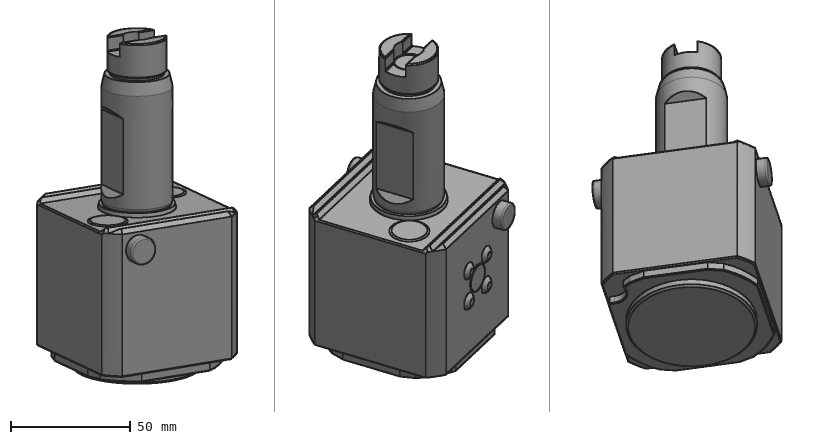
import cadquery as cq
import math

total_height = 144.5
flange_bottom_z = 3.5
body_bottom_z = 7.2
body_floor_z = 69.8
collar_top_z = 71.5
shaft_taper_z = 122.5
neck_bottom_z = 128.2
neck_top_z = 129.2
slot_floor_z = 138.1

body_width = 66.0
corner_diameter = 85.0
body_bottom_chamfer = 0.6
end_chamfer_height = 2.6

ridge_height = 1.9
ridge_crest = 0.3
ridge_top_z = body_floor_z + ridge_height

disc_diameter = 55.0
disc_chamfer = 0.9
flange_width = 64.2
flange_diameter = 72.2
flange_chamfer = 0.5
flange_flat_half = 13.7
flange_slant_end_x = 20.2
notch_radius = 13.0 / 2
notch_x = -29.3
notch_y = -24.5

shaft_radius = 30.0 / 2
shaft_foot_height = 1.5
shaft_foot_chamfer = 0.5
shaft_top_radius = 13.7
taper_bulge = 0.07
collar_base_radius = 16.5
collar_top_radius = 16.0
neck_radius = 23.0 / 2
head_radius = 25.0 / 2
head_chamfer = 0.6
head_under_chamfer = 0.7
slot_width = 10.0
slot_edge = 0.5
bore_diameter = 12.5
bore_step = 0.6
bore_floor_chamfer = 0.3

flat_width = 17.9
flat_bottom_z = 79.2
flat_top_z = 112.1

cap_diameter = 16.9
cap_height = 0.5
cap_chamfer_width = 0.94
cap_circle_radius = 25.0
cap_angle = 60.0

pin_diameter = 12.0
pin_span = 75.0
pin_y = -19.0
pin_z = 62.4
pin_edge = 0.7
cover_diameter = 12.5
cover_height = 0.5
cover_chamfer = 0.3
cover_z = 41.2
screw_diameter = 7.7
screw_flat_diameter = 3.3
screw_height = 1.7
screw_offset = 7.5

embed = 0.7


def revolve_z(profile):
    """Close a (radius, z) outline and revolve it about Z."""
    return profile.close().revolve(360, (0, 0, 0), (0, 1, 0))


def make_body():
    half = body_width / 2
    height = ridge_top_z - body_bottom_z
    box = cq.Workplane("XY", origin=(0, 0, body_bottom_z)).rect(body_width, body_width).extrude(height)
    box = box.faces("<Z").edges().chamfer(body_bottom_chamfer)

    def sloped_outline(plane, drop):
        return (
            cq.Workplane(plane)
            .moveTo(-half, 0)
            .lineTo(half, 0)
            .lineTo(half, ridge_top_z - drop)
            .lineTo(half - ridge_height, ridge_top_z)
            .lineTo(ridge_height - half, ridge_top_z)
            .lineTo(-half, ridge_top_z - drop)
            .close()
            .extrude(half, both=True)
        )

    turned = (
        cq.Workplane("XY", origin=(0, 0, body_bottom_z))
        .circle(corner_diameter / 2)
        .extrude(height)
        .faces(">Z")
        .chamfer(ridge_height)
        .faces("<Z")
        .chamfer(body_bottom_chamfer)
    )
    body = box.intersect(sloped_outline("XZ", ridge_height))
    body = body.intersect(sloped_outline("YZ", end_chamfer_height)).intersect(turned)

    outer_tip = half - ridge_height
    groove_outer = outer_tip - ridge_crest
    groove_inner = groove_outer - 2 * ridge_height
    inner_tip = groove_inner - ridge_crest
    channel_half = inner_tip - ridge_height
    channel = (
        cq.Workplane("XZ")
        .moveTo(-inner_tip, ridge_top_z)
        .lineTo(-channel_half, body_floor_z)
        .lineTo(channel_half, body_floor_z)
        .lineTo(inner_tip, ridge_top_z)
        .close()
        .extrude(body_width, both=True)
    )
    body = body.cut(channel)
    for side in (-1, 1):
        groove = (
            cq.Workplane("XZ")
            .moveTo(side * groove_outer, ridge_top_z)
            .lineTo(side * (groove_outer - ridge_height), body_floor_z)
            .lineTo(side * groove_inner, ridge_top_z)
            .close()
            .extrude(body_width, both=True)
        )
        body = body.cut(groove)
    return body


def make_base():
    half = flange_width / 2
    slant_end_y = math.sqrt((flange_diameter / 2) ** 2 - flange_slant_end_x**2)
    height = body_bottom_z - flange_bottom_z
    plane = cq.Workplane("XY", origin=(0, 0, flange_bottom_z))
    flange = (
        plane.moveTo(0, -half)
        .lineTo(flange_flat_half, -half)
        .lineTo(flange_slant_end_x, -slant_end_y)
        .lineTo(half, -slant_end_y)
        .lineTo(half, slant_end_y)
        .lineTo(flange_slant_end_x, slant_end_y)
        .lineTo(flange_flat_half, half)
        .lineTo(0, half)
        .mirrorY()
        .extrude(height)
    )
    flange = flange.intersect(plane.circle(flange_diameter / 2).extrude(height))

    notch = plane.center(notch_x, notch_y).circle(notch_radius).extrude(height)
    mouth_plane = plane.center(notch_x - notch_radius, notch_y)
    mouth = mouth_plane.rect(2 * notch_radius, 2 * notch_radius).extrude(height)
    flange = flange.cut(notch).cut(mouth)
    flange = flange.faces("<Z").edges().chamfer(flange_chamfer)

    disc = cq.Workplane("XY").circle(disc_diameter / 2).extrude(flange_bottom_z + embed)
    disc = disc.faces("<Z").chamfer(disc_chamfer)
    return flange.union(disc)


def make_shaft():
    foot_z = collar_top_z + shaft_foot_height
    foot_radius = shaft_radius - shaft_foot_chamfer
    taper_mid_radius = (shaft_radius + shaft_top_radius) / 2 + taper_bulge
    taper_mid_z = (shaft_taper_z + neck_bottom_z) / 2
    shaft = revolve_z(
        cq.Workplane("XZ")
        .moveTo(0, body_floor_z - embed)
        .lineTo(collar_base_radius, body_floor_z - embed)
        .lineTo(collar_base_radius, body_floor_z)
        .lineTo(collar_top_radius, collar_top_z)
        .lineTo(foot_radius, collar_top_z)
        .lineTo(shaft_radius, foot_z)
        .lineTo(shaft_radius, shaft_taper_z)
        .threePointArc((taper_mid_radius, taper_mid_z), (shaft_top_radius, neck_bottom_z))
        .lineTo(neck_radius, neck_bottom_z)
        .lineTo(neck_radius, neck_top_z)
        .lineTo(head_radius - head_under_chamfer, neck_top_z)
        .lineTo(head_radius, neck_top_z + head_under_chamfer)
        .lineTo(head_radius, total_height - head_chamfer)
        .lineTo(head_radius - head_chamfer, total_height)
        .lineTo(0, total_height)
    )

    flat_half_distance = math.sqrt(shaft_radius**2 - (flat_width / 2) ** 2)
    depth = shaft_radius - flat_half_distance
    for side in (-1, 1):
        flat = (
            cq.Workplane("YZ")
            .moveTo(side * flat_half_distance, flat_bottom_z)
            .lineTo(side * flat_half_distance, flat_top_z)
            .lineTo(side * (flat_half_distance + depth), flat_top_z + depth)
            .lineTo(side * (flat_half_distance + depth), flat_bottom_z - depth)
            .close()
            .extrude(shaft_radius, both=True)
        )
        shaft = shaft.cut(flat)
    return shaft.cut(make_head_slot())


def make_head_slot():
    """Driving slot along Y with beveled edges, plus the central bore."""
    half = slot_width / 2
    slot = (
        cq.Workplane("XZ")
        .moveTo(slot_edge - half, slot_floor_z)
        .lineTo(half - slot_edge, slot_floor_z)
        .lineTo(half, slot_floor_z + slot_edge)
        .lineTo(half, total_height - slot_edge)
        .lineTo(half + slot_edge, total_height)
        .lineTo(-half - slot_edge, total_height)
        .lineTo(-half, total_height - slot_edge)
        .lineTo(-half, slot_floor_z + slot_edge)
        .close()
        .extrude(head_radius, both=True)
    )
    bore_floor_z = slot_floor_z - bore_step
    bore = (
        cq.Workplane("XY", origin=(0, 0, bore_floor_z))
        .circle(bore_diameter / 2)
        .extrude(total_height - bore_floor_z)
        .faces("<Z")
        .chamfer(bore_floor_chamfer)
    )
    return slot.union(bore)


def make_cap(angle):
    """Round cap with a shallow beveled rim on the body top."""
    radius = cap_diameter / 2
    x = cap_circle_radius * math.cos(math.radians(angle))
    y = cap_circle_radius * math.sin(math.radians(angle))
    cap = revolve_z(
        cq.Workplane("XZ")
        .moveTo(0, -embed)
        .lineTo(radius, -embed)
        .lineTo(radius, 0)
        .lineTo(radius - cap_chamfer_width, cap_height)
        .lineTo(0, cap_height)
    )
    return cap.translate((x, y, body_floor_z))


def make_pins():
    pins = cq.Workplane("YZ").center(pin_y, pin_z).circle(pin_diameter / 2).extrude(pin_span / 2, both=True)
    return pins.faces("<X or >X").edges().fillet(pin_edge)


def make_screw(y, z):
    """Domed screw head with a flat tip, pointing toward -X."""
    radius = screw_diameter / 2
    tip_radius = screw_flat_diameter / 2
    center_height = (radius**2 - tip_radius**2 - screw_height**2) / (2 * screw_height)
    dome_radius = math.hypot(radius, center_height)
    mid_height = screw_height / 2
    mid_radius = math.sqrt(dome_radius**2 - (mid_height + center_height) ** 2)
    head = revolve_z(
        cq.Workplane("XZ")
        .moveTo(0, -embed)
        .lineTo(radius, -embed)
        .lineTo(radius, 0)
        .threePointArc((mid_radius, mid_height), (tip_radius, screw_height))
        .lineTo(0, screw_height)
    )
    return head.rotate((0, 0, 0), (0, 1, 0), -90).translate((-body_width / 2, y, z))


def make_cover():
    return (
        cq.Workplane("YZ", origin=(-body_width / 2 - cover_height, 0, cover_z))
        .circle(cover_diameter / 2)
        .extrude(cover_height + embed)
        .faces("<X")
        .chamfer(cover_chamfer)
    )


result = make_body().union(make_base()).union(make_shaft()).union(make_pins()).union(make_cover())
for angle in (-cap_angle, 180 - cap_angle):
    result = result.union(make_cap(angle))
for y in (-screw_offset, screw_offset):
    for z in (cover_z - screw_offset, cover_z + screw_offset):
        result = result.union(make_screw(y, z))